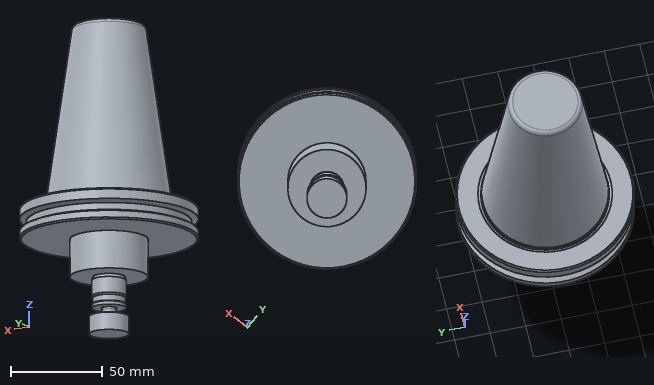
import cadquery as cq

TOTAL_HEIGHT = 174.1

HEAD_DIAMETER = 22.0
HEAD_TOP = 10.0
NECK_DIAMETER = 7.8
NECK_FOOT_DIAMETER = 10.0
NECK_FOOT_TOP = 11.5
NECK_TOP = 13.5
NECK_ROOT_DIAMETER = 8.4

SPIGOT_DIAMETER = 19.0
SPIGOT_BOTTOM = 14.6
COLLAR_TOP = 16.5
SPIGOT_GROOVE_DIAMETER = 18.1
SPIGOT_GROOVE_BOTTOM = 17.0
SPIGOT_GROOVE_TOP = 20.4
SPIGOT_BODY_BOTTOM = 21.5
SPIGOT_BODY_TOP = 30.3
SPIGOT_ROOT_DIAMETER = 17.5

NOSE_DIAMETER = 43.0
NOSE_BOTTOM = 32.2

FLANGE_DIAMETER = 98.4
FLANGE_BOTTOM = 53.5
FLANGE_TOP = 71.0
FLANGE_CHAMFER = 0.9
RIM_GROOVE_DIAMETER = 91.0
RIM_GROOVE_CENTER = 61.5
RIM_GROOVE_MOUTH = 6.8
RIM_GROOVE_FLOOR = 3.8

RELIEF_DIAMETER = 73.8
RELIEF_DEPTH = 0.5
RELIEF_FLOOR_DIAMETER = 70.7
TAPER_FOOT_DIAMETER = 69.3
TAPER_FOOT_TOP = 72.0

TAPER_DIAMETER = 70.0
TAPER_BOTTOM = 72.6
TAPER_RATIO = 7 / 24
TOP_FILLET = 2.6


def turned(levels):
    """Solid of revolution about Z from (diameter, height) corners."""
    corners = [(diameter / 2, height) for diameter, height in levels]
    outline = [(0, corners[0][1])] + corners + [(0, corners[-1][1])]
    return cq.Workplane("XZ").polyline(outline).close().revolve(360, (0, 0), (0, 1))


def make_screw_and_spigot():
    return turned([
        (HEAD_DIAMETER, 0),
        (HEAD_DIAMETER, HEAD_TOP),
        (NECK_FOOT_DIAMETER, HEAD_TOP),
        (NECK_DIAMETER, NECK_FOOT_TOP),
        (NECK_DIAMETER, NECK_TOP),
        (NECK_ROOT_DIAMETER, SPIGOT_BOTTOM),
        (SPIGOT_DIAMETER, SPIGOT_BOTTOM),
        (SPIGOT_DIAMETER, COLLAR_TOP),
        (SPIGOT_GROOVE_DIAMETER, SPIGOT_GROOVE_BOTTOM),
        (SPIGOT_GROOVE_DIAMETER, SPIGOT_GROOVE_TOP),
        (SPIGOT_DIAMETER, SPIGOT_BODY_BOTTOM),
        (SPIGOT_DIAMETER, SPIGOT_BODY_TOP),
        (SPIGOT_ROOT_DIAMETER, NOSE_BOTTOM),
    ])


def make_nose():
    return turned([(NOSE_DIAMETER, NOSE_BOTTOM), (NOSE_DIAMETER, FLANGE_BOTTOM)])


def make_flange():
    face_diameter = FLANGE_DIAMETER - 2 * FLANGE_CHAMFER
    return turned([
        (face_diameter, FLANGE_BOTTOM),
        (FLANGE_DIAMETER, FLANGE_BOTTOM + FLANGE_CHAMFER),
        (FLANGE_DIAMETER, RIM_GROOVE_CENTER - RIM_GROOVE_MOUTH / 2),
        (RIM_GROOVE_DIAMETER, RIM_GROOVE_CENTER - RIM_GROOVE_FLOOR / 2),
        (RIM_GROOVE_DIAMETER, RIM_GROOVE_CENTER + RIM_GROOVE_FLOOR / 2),
        (FLANGE_DIAMETER, RIM_GROOVE_CENTER + RIM_GROOVE_MOUTH / 2),
        (FLANGE_DIAMETER, FLANGE_TOP - FLANGE_CHAMFER),
        (face_diameter, FLANGE_TOP),
        (RELIEF_DIAMETER, FLANGE_TOP),
        (RELIEF_FLOOR_DIAMETER, FLANGE_TOP - RELIEF_DEPTH),
    ])


def make_taper():
    small_diameter = TAPER_DIAMETER - TAPER_RATIO * (TOTAL_HEIGHT - TAPER_BOTTOM)
    taper = turned([
        (TAPER_FOOT_DIAMETER, FLANGE_TOP - RELIEF_DEPTH),
        (TAPER_FOOT_DIAMETER, TAPER_FOOT_TOP),
        (TAPER_DIAMETER, TAPER_BOTTOM),
        (small_diameter, TOTAL_HEIGHT),
    ])
    return taper.faces(">Z").edges().fillet(TOP_FILLET)


result = make_screw_and_spigot().union(make_nose()).union(make_flange()).union(make_taper())